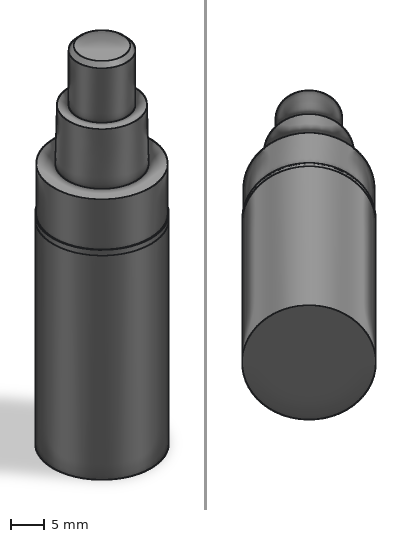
import cadquery as cq

total_height = 71.0
body_diameter = 20.0
collar_diameter = 19.7
taper_base_diameter = 14.0
taper_top_diameter = 13.5
pin_diameter = 10.0
pin_chamfer = 0.8

pin_length = 10.5
taper_length = 10.5
collar_length = 8.95
flange_thickness = 1.0

pin_base = total_height - pin_length
taper_base = pin_base - taper_length
collar_base = taper_base - collar_length
barrel_height = collar_base - flange_thickness


def make_barrel():
    """Plain cylindrical barrel below the flange."""
    return cq.Workplane("XY").circle(body_diameter / 2).extrude(barrel_height)


def make_head():
    """Flange, collar, taper and chamfered pin, turned as one piece."""
    profile = [
        (0, barrel_height),
        (body_diameter / 2, barrel_height),
        (body_diameter / 2, collar_base),
        (collar_diameter / 2, collar_base),
        (collar_diameter / 2, taper_base),
        (taper_base_diameter / 2, taper_base),
        (taper_top_diameter / 2, pin_base),
        (pin_diameter / 2, pin_base),
        (pin_diameter / 2, total_height - pin_chamfer),
        (pin_diameter / 2 - pin_chamfer, total_height),
        (0, total_height),
    ]
    return cq.Workplane("XZ").polyline(profile).close().revolve(360, (0, 0), (0, 1))


barrel = make_barrel()
head = make_head()

result = cq.Compound.makeCompound([barrel.val(), head.val()])